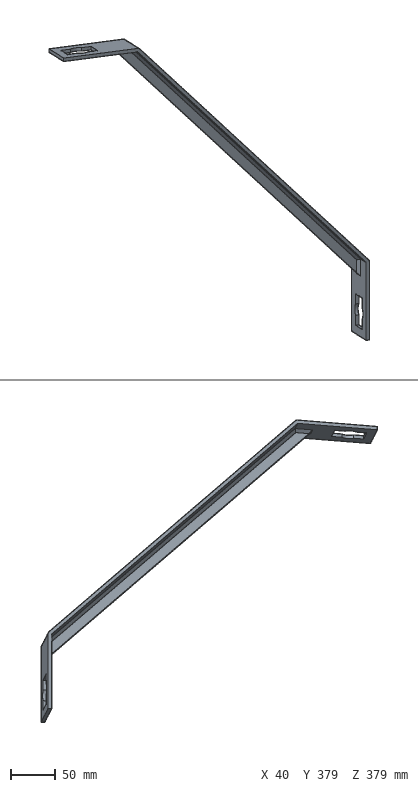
import cadquery as cq
import math

span = 379.0
width = 40.0
thickness = 4.0
inner_length = 91.5
rib_thickness = 3.5
rib_foot = 20.0
bead_leg = 3.5
slot_width = 17.5
slot_length = 36.7
slot_bulge_diameter = 22.0
slot_end_distance = 28.5

half = span / 2
bend_angle = 45.0
corner_shift = thickness * math.tan(math.radians(bend_angle / 2))
flange_length = inner_length + corner_shift
inner_face = half - thickness

lower_bend = (inner_face, -half + inner_length)
upper_bend = (-half + inner_length, inner_face)
lower_foot = (inner_face, lower_bend[1] - rib_foot)
upper_foot = (upper_bend[0] - rib_foot, inner_face)


def extrude_across(points, depth):
    """Extrude a YZ outline symmetrically about the X = 0 plane."""
    return cq.Workplane("YZ").polyline(points).close().extrude(depth / 2, both=True)


def make_strip():
    """Strip bent by 45 degrees twice, sharp inside and rounded about the same corners outside."""
    outer = [
        (half, -half),
        (half, -half + flange_length),
        (-half + flange_length, half),
        (-half, half),
    ]
    inner = [(-half, inner_face), upper_bend, lower_bend, (inner_face, -half)]
    strip = extrude_across(outer + inner, width)
    for y, z in outer[1:3]:
        edge = cq.selectors.NearestToPointSelector((0, y, z))
        strip = strip.edges("|X").edges(edge).fillet(thickness)
    return strip


def make_slot_cutter(plane, origin):
    """Rectangular slot with a round bulge at mid-length, centred on a flange."""
    centre = -half + slot_end_distance
    middle = cq.Workplane(plane, origin=origin).center(0, centre)
    slot = middle.rect(slot_width, slot_length).extrude(2 * thickness, both=True)
    bulge = middle.circle(slot_bulge_diameter / 2).extrude(2 * thickness, both=True)
    return slot.union(bulge)


def make_bead(start, end):
    """Triangular bead on both sides of the rib, along one line where it meets the strip."""
    direction = cq.Vector(0, end[0] - start[0], end[1] - start[1])
    plane = cq.Plane(origin=(0, *start), xDir=(1, 0, 0), normal=direction.toTuple())
    root = rib_thickness / 2
    toe = root + bead_leg
    section = [
        (-toe, thickness / 2),
        (-toe, 0),
        (-root, -bead_leg),
        (root, -bead_leg),
        (toe, 0),
        (toe, thickness / 2),
    ]
    return cq.Workplane(plane).polyline(section).close().extrude(direction.Length)


def make_rib():
    """Thin web under the sloping run, with weld beads along all of its contact lines."""
    outline = [lower_foot, lower_bend, upper_bend, upper_foot]
    beads = make_bead(lower_foot, lower_bend)
    beads = beads.union(make_bead(lower_bend, upper_bend))
    beads = beads.union(make_bead(upper_bend, upper_foot))
    beads = beads.intersect(extrude_across(outline, width))
    return extrude_across(outline, rib_thickness).union(beads)


result = make_strip().union(make_rib())
result = result.cut(make_slot_cutter("XY", (0, 0, half))).cut(make_slot_cutter("XZ", (0, half, 0)))